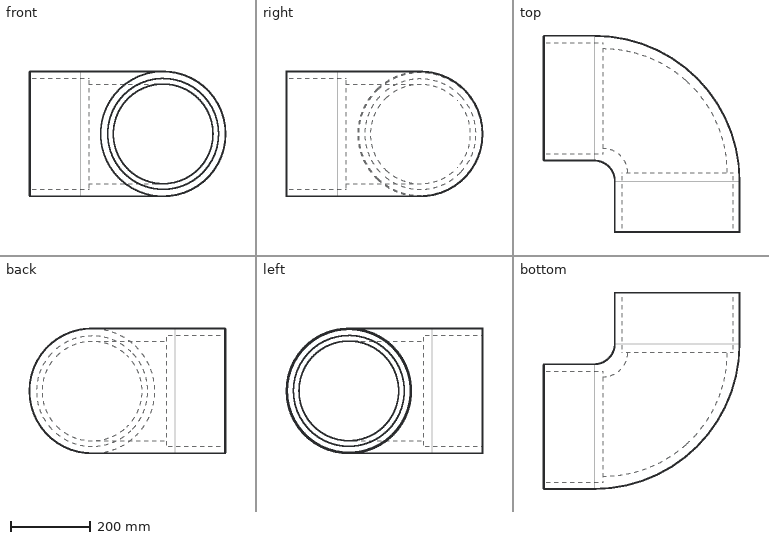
import cadquery as cq

overall_size = 496.0
outer_diameter = 316.0
socket_diameter = 280.0
bore_diameter = 252.0
collar_length = 129.0
socket_depth = 150.0
rim_chamfer = 2.5

end_distance = overall_size - outer_diameter / 2


def x_cylinder(diameter, length):
    """Cylinder running inward from the -X end."""
    return cq.Workplane("YZ", origin=(-end_distance, 0, 0)).circle(diameter / 2).extrude(length)


def y_cylinder(diameter, length):
    """Cylinder running inward from the -Y end."""
    return cq.Workplane("XZ", origin=(0, -end_distance, 0)).circle(diameter / 2).extrude(-length)


def elbow(diameter, straight_length):
    """Quarter torus with a tangent straight cylinder on each end."""
    bend_radius = end_distance - straight_length
    bend = (
        cq.Workplane("XZ", origin=(0, -bend_radius, 0))
        .circle(diameter / 2)
        .revolve(90, (-bend_radius, 0, 0), (-bend_radius, 1, 0))
    )
    return bend.union(x_cylinder(diameter, straight_length)).union(y_cylinder(diameter, straight_length))


body = elbow(outer_diameter, collar_length).faces("<X").edges().chamfer(rim_chamfer)

body = body.cut(elbow(bore_diameter, socket_depth))

body = body.cut(x_cylinder(socket_diameter, socket_depth))
result = body.cut(y_cylinder(socket_diameter, socket_depth))